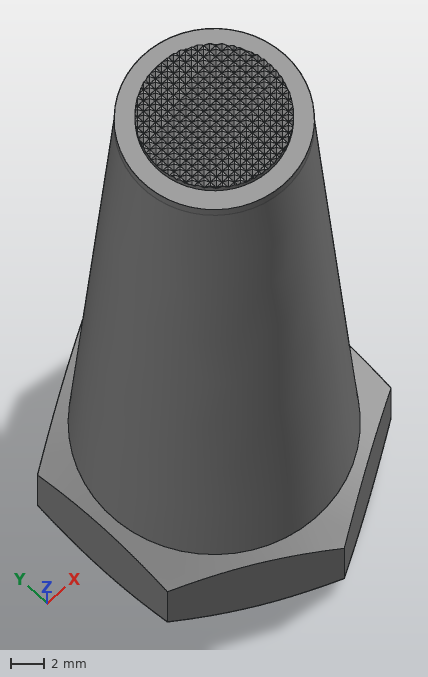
import cadquery as cq
import math

hex_width = 19.0
hex_height = 6.5
hex_corner_width = hex_width * 2 / math.sqrt(3)
chamfer_angle = math.radians(30)
bottom_chamfer_circle = 18.6
chamfer_margin = 1.0

shank_base_diameter = 17.5
rim_diameter = 12.0
rim_height = 0.8
rim_top = 49.1

pad_diameter = 9.5
pad_top = 49.7
tooth_pitch = 0.511
tooth_depth = tooth_pitch / 2
tooth_count = 20
tooth_offset_x = -0.18
tooth_offset_y = 0.18


def hexagonal_foot():
    """Hexagonal prism chamfered conically at both ends; the upper cone starts at the shank."""
    prism = (
        cq.Workplane("XY")
        .polygon(6, hex_corner_width)
        .extrude(hex_height)
        .rotate((0, 0, 0), (0, 0, 1), 90)
    )
    outer_radius = hex_corner_width / 2 + chamfer_margin
    top_radius = shank_base_diameter / 2
    bottom_radius = bottom_chamfer_circle / 2
    top_drop = (outer_radius - top_radius) * math.tan(chamfer_angle)
    bottom_rise = (outer_radius - bottom_radius) * math.tan(chamfer_angle)
    turned_envelope = (
        cq.Workplane("XZ")
        .polyline([
            (0, 0),
            (bottom_radius, 0),
            (outer_radius, bottom_rise),
            (outer_radius, hex_height - top_drop),
            (top_radius, hex_height),
            (0, hex_height),
        ])
        .close()
        .revolve(360, (0, 0), (0, 1))
    )
    return prism.intersect(turned_envelope)


def tapered_shank():
    """Cone from the foot up to the rim, ending in a short cylinder."""
    rim_radius = rim_diameter / 2
    return (
        cq.Workplane("XZ")
        .polyline([
            (0, hex_height),
            (shank_base_diameter / 2, hex_height),
            (rim_radius, rim_top - rim_height),
            (rim_radius, rim_top),
            (0, rim_top),
        ])
        .close()
        .revolve(360, (0, 0), (0, 1))
    )


def toothed_bar(plane, offset):
    """Bar with a zigzag top, shifted sideways by offset, whose ridges run along the plane's normal."""
    span = tooth_count * tooth_pitch
    left_end = offset - span / 2
    valley_height = pad_top - tooth_depth
    profile = [(left_end, rim_top), (left_end, valley_height)]
    for tooth in range(tooth_count):
        valley = left_end + tooth * tooth_pitch
        profile.append((valley + tooth_pitch / 2, pad_top))
        profile.append((valley + tooth_pitch, valley_height))
    profile.append((left_end + span, rim_top))
    return cq.Workplane(plane).polyline(profile).close().extrude(span / 2, both=True)


def knurled_pad():
    """Round pad covered with pyramid teeth, formed where two crossed toothed bars meet."""
    blank = (
        cq.Workplane("XY")
        .workplane(offset=rim_top)
        .circle(pad_diameter / 2)
        .extrude(pad_top - rim_top)
    )
    teeth = toothed_bar("XZ", tooth_offset_x).intersect(toothed_bar("YZ", tooth_offset_y))
    return teeth.intersect(blank)


result = hexagonal_foot().union(tapered_shank()).union(knurled_pad())